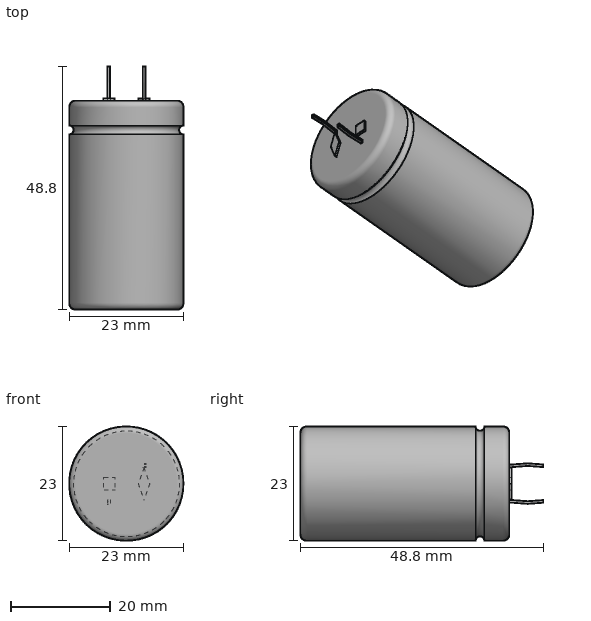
import cadquery as cq
import math

total_length = 48.8
can_diameter = 23.0
can_length = 41.95
can_radius = can_diameter / 2
rim_radius = 1.3

groove_radius = 0.9
groove_setback = 5.9
groove_center_y = can_length - groove_setback

lead_offset = 3.55
lead_width = 0.6
lead_bulge = 0.25

pad_offset = 3.5
pad_width = 2.3
pad_height = 0.5
rectangle_length = 2.5
diamond_length = 6.45


def make_can():
    """Can of revolution with two rounded rims and a half-round groove."""
    rim_inset = rim_radius * (1 - math.sqrt(0.5))
    rim_edge = can_radius - rim_radius
    groove_floor = can_radius - groove_radius
    profile = (
        cq.Workplane("XY")
        .moveTo(0, 0)
        .lineTo(rim_edge, 0)
        .threePointArc((can_radius - rim_inset, rim_inset), (can_radius, rim_radius))
        .lineTo(can_radius, groove_center_y - groove_radius)
        .threePointArc((groove_floor, groove_center_y), (can_radius, groove_center_y + groove_radius))
        .lineTo(can_radius, can_length - rim_radius)
        .threePointArc((can_radius - rim_inset, can_length - rim_inset), (rim_edge, can_length))
        .lineTo(0, can_length)
        .close()
    )
    return profile.revolve(360, (0, 0, 0), (0, 1, 0))


def make_lead(side):
    """Square lead at X = Z = side * lead_offset: a straight foot, then an outward bulge up to the tip."""
    foot_y = can_length + pad_height
    bend_y = (foot_y + total_length) / 2
    inner = lead_offset - lead_width / 2
    outer = lead_offset + lead_width / 2
    outline = [
        (can_length, inner),
        (foot_y, inner),
        (bend_y, inner + lead_bulge),
        (total_length, inner),
        (total_length, outer),
        (bend_y, outer + lead_bulge),
        (foot_y, outer),
        (can_length, outer),
    ]
    return (
        cq.Workplane("YZ", origin=(side * lead_offset, 0, 0))
        .polyline([(y, side * z) for y, z in outline])
        .close()
        .extrude(lead_width / 2, both=True)
    )


def back_face(x):
    """Workplane on the back face, facing +Y, with its origin shifted to x."""
    return cq.Workplane("XZ", origin=(x, can_length, 0))


def make_pads():
    """Rectangular and diamond-shaped polarity pads."""
    rectangle = back_face(-pad_offset).rect(pad_width, rectangle_length).extrude(-pad_height)
    half_width = pad_width / 2
    half_length = diamond_length / 2
    diamond = (
        back_face(pad_offset)
        .polyline([(half_width, 0), (0, half_length), (-half_width, 0), (0, -half_length)])
        .close()
        .extrude(-pad_height)
    )
    return rectangle, diamond


result = make_can()
for pad in make_pads():
    result = result.union(pad)
for side in (-1, 1):
    result = result.union(make_lead(side))